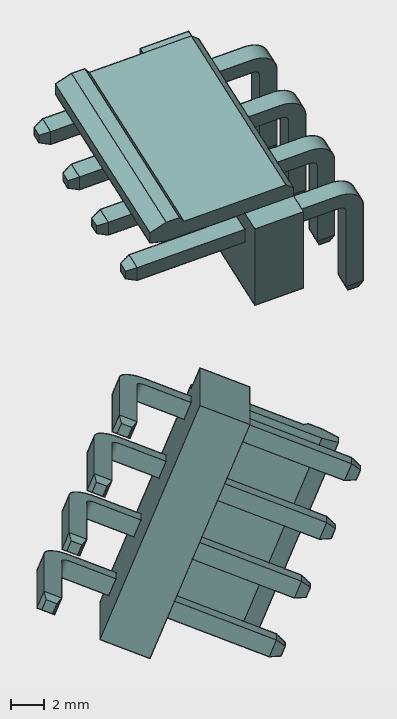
import cadquery as cq
import math


pin_count = 4
pin_pitch = 3.96
pin_side = 1.14
pin_bottom_z = 4.23
pin_front_reach = 7.7
pin_rear_y = 7.76
pin_drop = 3.61
bend_outer_radius = 1.63
bend_inner_radius = bend_outer_radius - pin_side
tip_length = 0.66
tip_end_side = 0.68
pin_top_z = pin_bottom_z + pin_side
pin_xs = [(i - (pin_count - 1) / 2) * pin_pitch for i in range(pin_count)]

housing_width = 15.78
housing_depth = 3.19
housing_height = 6.8

lever_width = (pin_count - 1) * pin_pitch + pin_side
lever_thickness = 1.22
lever_reach = 6.2
rear_chamfer = 0.49
catch_height = 0.47
catch_step_y = -3.98
catch_step_run = 0.3
nose_length = 1.05
nose_top_drop = 0.43
nose_bottom_rise = 0.35
lever_top_z = housing_height + lever_thickness
catch_top_z = lever_top_z + catch_height


def extrude_along_x(outline, width):
    """Extrude a closed YZ outline to a width centred on X = 0."""
    return outline.extrude(width / 2, both=True)


def make_lever():
    """Plate on top of the housing, ending in a raised catch with a tapered nose."""
    nose_start_y = nose_length - lever_reach
    outline = (
        cq.Workplane("YZ")
        .moveTo(housing_depth, housing_height)
        .lineTo(housing_depth, lever_top_z - rear_chamfer)
        .lineTo(housing_depth - rear_chamfer, lever_top_z)
        .lineTo(catch_step_y, lever_top_z)
        .lineTo(catch_step_y - catch_step_run, catch_top_z)
        .lineTo(nose_start_y, catch_top_z)
        .lineTo(-lever_reach, catch_top_z - nose_top_drop)
        .lineTo(-lever_reach, housing_height + nose_bottom_rise)
        .lineTo(nose_start_y, housing_height)
        .close()
    )
    return extrude_along_x(outline, lever_width)


def make_housing():
    """Block and lever in one piece, with a square passage for each pin."""
    block = cq.Workplane("XY").box(
        housing_width, housing_depth, housing_height, centered=(True, False, False)
    )
    passages = (
        cq.Workplane("XZ")
        .pushPoints([(x, pin_bottom_z + pin_side / 2) for x in pin_xs])
        .rect(pin_side, pin_side)
        .extrude(-housing_depth)
    )
    return block.union(make_lever()).cut(passages)


def make_tip(plane):
    """Square tip tapering along the normal of a plane centred on the end of a pin leg."""
    return (
        cq.Workplane(plane)
        .rect(pin_side, pin_side)
        .workplane(offset=tip_length)
        .rect(tip_end_side, tip_end_side)
        .loft(ruled=True)
    )


def make_pin(x):
    """Square pin bent down behind the housing, tapered at both ends."""
    front_y = tip_length - pin_front_reach
    lower_z = tip_length - pin_drop
    inner_y = pin_rear_y - pin_side
    bend_y = pin_rear_y - bend_outer_radius
    bend_z = pin_top_z - bend_outer_radius
    diagonal = math.sqrt(0.5)
    outer_mid = bend_outer_radius * diagonal
    inner_mid = bend_inner_radius * diagonal
    outline = (
        cq.Workplane("YZ")
        .moveTo(front_y, pin_top_z)
        .lineTo(bend_y, pin_top_z)
        .threePointArc((bend_y + outer_mid, bend_z + outer_mid), (pin_rear_y, bend_z))
        .lineTo(pin_rear_y, lower_z)
        .lineTo(inner_y, lower_z)
        .lineTo(inner_y, bend_z)
        .threePointArc((bend_y + inner_mid, bend_z + inner_mid), (bend_y, pin_bottom_z))
        .lineTo(front_y, pin_bottom_z)
        .close()
    )
    front_end = cq.Plane((0, front_y, pin_bottom_z + pin_side / 2), (1, 0, 0), (0, -1, 0))
    lower_end = cq.Plane((0, pin_rear_y - pin_side / 2, lower_z), (1, 0, 0), (0, 0, -1))
    pin = extrude_along_x(outline, pin_side).union(make_tip(front_end)).union(make_tip(lower_end))
    return pin.translate((x, 0, 0))


housing = make_housing()
pins = [make_pin(x) for x in pin_xs]

result = cq.Compound.makeCompound([housing.val(), *[pin.val() for pin in pins]])